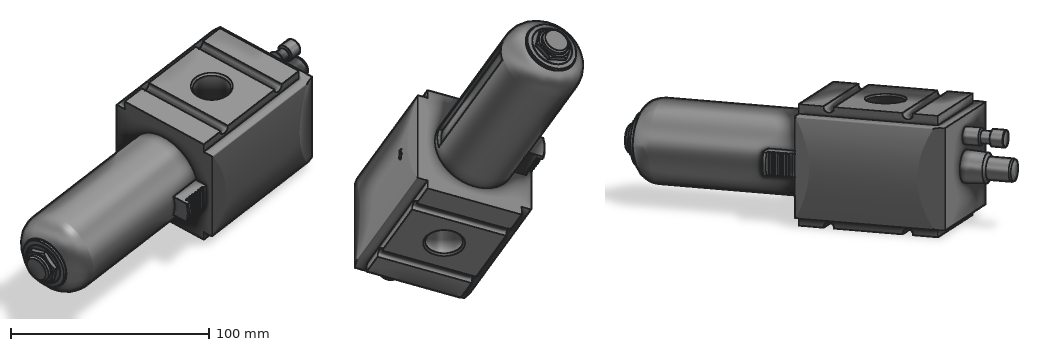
import cadquery as cq
import math


BODY_FRONT = -37.3
BODY_BACK = 42.7
BODY_HALF_HEIGHT = 26.5
BODY_EDGE_HALF_WIDTH = 31.5
BODY_HALF_WIDTH = 67.0 / 2
BODY_EDGE_FILLET = 0.8
CROWN_HALF_LENGTH = 29.0
SIDE_TAPER = (BODY_HALF_WIDTH - BODY_EDGE_HALF_WIDTH) / (-CROWN_HALF_LENGTH - BODY_FRONT)

PAD_HALF_WIDTH = 52.0 / 2
PAD_HALF_HEIGHT = 31.5
PAD_HALF_LENGTH = -BODY_FRONT
GROOVE_OFFSET = 21.1
GROOVE_RADIUS = 5.5 / 2
GROOVE_DEPTH = 3.1
PORT_RADIUS = 9.5
PORT_CHAMFER = 1.0
PORT_DEPTH = 18.7

ARROW_Y = -20.3
ARROW_TOP = 3.0
ARROW_SHOULDER = -0.8
ARROW_HEAD_HALF_WIDTH = 2.0
ARROW_SHAFT_HALF_WIDTH = 0.93
ARROW_TIP_HALF_WIDTH = 0.5
ARROW_DEPTH = 1.0

BOWL_RADIUS = 22.0
BOWL_STRAIGHT_END = -119.5
DOME_RADIUS = 11.8
DOME_END = -130.5
WINDOW_FRONT = -118.2
WINDOW_BACK = -40.5
WINDOW_WIDTH = 11.5
WINDOW_DEPTH = 2.0

WASHER_RADIUS = 13.5
WASHER_END = -132.0
STEP_RADIUS = 11.0
STEP_END = -132.5
NUT_ACROSS_FLATS = 17.0
NUT_END = -135.2
NUT_TURN = 17.0
NUT_BEVEL_ANGLE = 30.0
DRAIN_RADIUS = 7.3
DRAIN_END_RADIUS = 6.2
DRAIN_TAPER_START = -136.8
DRAIN_END = -137.6

LATCH_WIDTH = 12.0
LATCH_CROWN = 0.8
LATCH_BACK = -38.0
LATCH_ROOT = 17.6
LATCH_BODY_REACH = 27.4
LATCH_LIP_REACH = 28.2
LATCH_LIP_FRONT = -40.0
LATCH_RIB_REACH = 29.6
LATCH_FOOT_REACH = 31.0
LATCH_FOOT_BACK = -53.0
LATCH_FRONT = -55.3
LATCH_FOOT_CHAMFER = 0.6
RIB_COUNT = 5
RIB_FIRST = -42.0
RIB_PITCH = 2.3
RIB_THICKNESS = 1.0

COLLAR_BASE_RADIUS = 8.5
COLLAR_RADIUS = 7.9
COLLAR_END = 54.5
KNOB_RADIUS = 6.0
KNOB_START = 55.8
KNOB_SHOULDER = 68.0
KNOB_RIM_RADIUS = 5.5
KNOB_RIM = 69.0
KNOB_TIP_RADIUS = 3.1
KNOB_END = 69.7

FITTING_Z = 16.0
FITTING_RADIUS = 4.5
FITTING_NECK_RADIUS = 3.3
FITTING_NECK_START = 51.8
FITTING_NECK_END = 56.8
FITTING_END = 64.5
FITTING_NECK_BEVEL = 0.6
FITTING_TIP_CHAMFER = 0.31


def box(x_range, y_range, z_range):
    """Box spanning the given ranges."""
    spans = [(low, high - low) for low, high in (x_range, y_range, z_range)]
    corner = cq.Vector(*[low for low, _ in spans])
    return cq.Workplane(cq.Solid.makeBox(*[size for _, size in spans], corner))


def revolve_about_y(profile):
    """Solid of revolution about Y from (radius, y) points, closed along the axis."""
    return cq.Workplane("XY").polyline(profile).close().revolve(360, (0, 0), (0, 1))


def extrude_along_y(outline, y_start, y_end):
    """Solid from y_start to y_end with the given XZ outline."""
    return outline.extrude(y_end - y_start).translate((0, y_end, 0))


def make_body():
    """Block with crowned X sides whose ends are cut back by slanted planes."""
    edge = BODY_EDGE_HALF_WIDTH
    top = BODY_HALF_HEIGHT
    outline = (
        cq.Workplane("XZ")
        .moveTo(-edge, -top)
        .lineTo(edge, -top)
        .threePointArc((BODY_HALF_WIDTH, 0), (edge, top))
        .lineTo(-edge, top)
        .threePointArc((-BODY_HALF_WIDTH, 0), (-edge, -top))
        .close()
    )
    block = extrude_along_y(outline, BODY_FRONT, BODY_BACK).edges("|Y").fillet(BODY_EDGE_FILLET)

    back_half_width = BODY_HALF_WIDTH - SIDE_TAPER * (BODY_BACK - CROWN_HALF_LENGTH)
    right_side = [
        (edge, BODY_FRONT),
        (BODY_HALF_WIDTH, -CROWN_HALF_LENGTH),
        (BODY_HALF_WIDTH, CROWN_HALF_LENGTH),
        (back_half_width, BODY_BACK),
    ]
    left_side = [(-x, y) for x, y in reversed(right_side)]
    plan = cq.Workplane("XY").polyline(right_side + left_side).close().extrude(top, both=True)
    return block.intersect(plan)


def make_pads():
    """Port pads through the full height, with two round-bottomed grooves on each face."""
    pads = box(
        (-PAD_HALF_WIDTH, PAD_HALF_WIDTH),
        (-PAD_HALF_LENGTH, PAD_HALF_LENGTH),
        (-PAD_HALF_HEIGHT, PAD_HALF_HEIGHT),
    )
    for side in (-1, 1):
        grooves = (
            cq.Workplane("YZ")
            .pushPoints([(y, side * PAD_HALF_HEIGHT) for y in (-GROOVE_OFFSET, GROOVE_OFFSET)])
            .slot2D(2 * GROOVE_DEPTH, 2 * GROOVE_RADIUS, 90)
            .extrude(PAD_HALF_WIDTH, both=True)
        )
        pads = pads.cut(grooves)
    return pads


def make_ports():
    """Chamfered blind ports, one in each pad."""
    profile = [
        (0, PAD_HALF_HEIGHT),
        (PORT_RADIUS + PORT_CHAMFER, PAD_HALF_HEIGHT),
        (PORT_RADIUS, PAD_HALF_HEIGHT - PORT_CHAMFER),
        (PORT_RADIUS, PAD_HALF_HEIGHT - PORT_DEPTH),
        (0, PAD_HALF_HEIGHT - PORT_DEPTH),
    ]
    port = cq.Workplane("XZ").polyline(profile).close().revolve(360, (0, 0), (0, 1))
    return port.union(port.mirror("XY"))


def make_arrow():
    """Arrow pointing down, to be engraved in the -X side."""
    right_side = [
        (ARROW_SHAFT_HALF_WIDTH, ARROW_TOP),
        (ARROW_SHAFT_HALF_WIDTH, ARROW_SHOULDER),
        (ARROW_HEAD_HALF_WIDTH, ARROW_SHOULDER),
        (ARROW_TIP_HALF_WIDTH, -ARROW_TOP),
    ]
    left_side = [(-y, z) for y, z in reversed(right_side)]
    outline = cq.Workplane("YZ").polyline(right_side + left_side).close()
    return outline.extrude(ARROW_DEPTH).translate((-BODY_HALF_WIDTH, ARROW_Y, 0))


def make_bowl():
    """Round bowl with a domed end and a sunken window on the -X side."""
    dome_centre_radius = BOWL_RADIUS - DOME_RADIUS
    dome_depth = BOWL_STRAIGHT_END - DOME_END
    dome_end_radius = dome_centre_radius + math.sqrt(DOME_RADIUS**2 - dome_depth**2)
    end_angle = math.asin(dome_depth / DOME_RADIUS)
    dome_middle = (
        dome_centre_radius + DOME_RADIUS * math.cos(end_angle / 2),
        BOWL_STRAIGHT_END - DOME_RADIUS * math.sin(end_angle / 2),
    )
    bowl = (
        cq.Workplane("XY")
        .moveTo(0, BODY_FRONT)
        .lineTo(BOWL_RADIUS, BODY_FRONT)
        .lineTo(BOWL_RADIUS, BOWL_STRAIGHT_END)
        .threePointArc(dome_middle, (dome_end_radius, DOME_END))
        .lineTo(0, DOME_END)
        .close()
        .revolve(360, (0, 0), (0, 1))
    )
    ring = cq.Workplane("XZ").circle(BOWL_RADIUS).circle(BOWL_RADIUS - WINDOW_DEPTH)
    window = extrude_along_y(ring, WINDOW_FRONT, WINDOW_BACK).intersect(
        box(
            (-BOWL_RADIUS, 0),
            (WINDOW_FRONT, WINDOW_BACK),
            (-WINDOW_WIDTH / 2, WINDOW_WIDTH / 2),
        )
    )
    return bowl.cut(window)


def make_drain():
    """Stepped washer, bevelled hexagon nut and round drain stem."""
    washer = revolve_about_y(
        [
            (0, DOME_END),
            (WASHER_RADIUS, DOME_END),
            (WASHER_RADIUS, WASHER_END),
            (STEP_RADIUS, WASHER_END),
            (STEP_RADIUS, STEP_END),
            (0, STEP_END),
        ]
    )
    nut_corner_radius = NUT_ACROSS_FLATS / 2 / math.cos(math.pi / 6)
    hexagon = cq.Workplane("XZ").polygon(6, 2 * nut_corner_radius)
    nut = extrude_along_y(hexagon, NUT_END, STEP_END).rotate((0, 0, 0), (0, 1, 0), -NUT_TURN)
    bevel = (nut_corner_radius - NUT_ACROSS_FLATS / 2) * math.tan(math.radians(NUT_BEVEL_ANGLE))
    nut_envelope = revolve_about_y(
        [
            (0, STEP_END),
            (nut_corner_radius, STEP_END),
            (nut_corner_radius, NUT_END + bevel),
            (NUT_ACROSS_FLATS / 2, NUT_END),
            (0, NUT_END),
        ]
    )
    stem = revolve_about_y(
        [
            (0, STEP_END),
            (DRAIN_RADIUS, STEP_END),
            (DRAIN_RADIUS, DRAIN_TAPER_START),
            (DRAIN_END_RADIUS, DRAIN_END),
            (0, DRAIN_END),
        ]
    )
    return washer.union(nut.intersect(nut_envelope)).union(stem)


def latch_bar(reach, y_front, y_back):
    """Flat-faced bar from inside the bowl wall out to the given X reach."""
    return box((LATCH_ROOT, reach), (y_front, y_back), (-LATCH_WIDTH / 2, LATCH_WIDTH / 2))


def make_foot():
    """Foot at the -Y end of the latch, with a crowned and chamfered outer face."""
    half_width = LATCH_WIDTH / 2
    edge_reach = LATCH_FOOT_REACH - LATCH_CROWN
    outline = (
        cq.Workplane("XZ")
        .moveTo(LATCH_ROOT, -half_width)
        .lineTo(edge_reach, -half_width)
        .threePointArc((LATCH_FOOT_REACH, 0), (edge_reach, half_width))
        .lineTo(LATCH_ROOT, half_width)
        .close()
    )
    foot = extrude_along_y(outline, LATCH_FRONT, LATCH_FOOT_BACK)
    return foot.faces(">X").edges("<Y").chamfer(LATCH_FOOT_CHAMFER)


def make_latch():
    """Thumb latch with a lip beside the body, grip ribs and a longer foot."""
    latch = latch_bar(LATCH_BODY_REACH, LATCH_FRONT, LATCH_BACK)
    latch = latch.union(latch_bar(LATCH_LIP_REACH, LATCH_LIP_FRONT, LATCH_BACK))
    for index in range(RIB_COUNT):
        y = RIB_FIRST - index * RIB_PITCH
        latch = latch.union(latch_bar(LATCH_RIB_REACH, y - RIB_THICKNESS / 2, y + RIB_THICKNESS / 2))
    return latch.union(make_foot())


def make_knob():
    """Tapered collar carrying the adjusting knob."""
    return revolve_about_y(
        [
            (0, BODY_BACK),
            (COLLAR_BASE_RADIUS, BODY_BACK),
            (COLLAR_RADIUS, COLLAR_END),
            (KNOB_RADIUS, KNOB_START),
            (KNOB_RADIUS, KNOB_SHOULDER),
            (KNOB_RIM_RADIUS, KNOB_RIM),
            (KNOB_TIP_RADIUS, KNOB_END),
            (0, KNOB_END),
        ]
    )


def make_fitting():
    """Round push-in fitting with a waisted neck whose shoulders are bevelled."""
    return revolve_about_y(
        [
            (0, BODY_BACK),
            (FITTING_RADIUS, BODY_BACK),
            (FITTING_RADIUS, FITTING_NECK_START - FITTING_NECK_BEVEL),
            (FITTING_NECK_RADIUS, FITTING_NECK_START),
            (FITTING_NECK_RADIUS, FITTING_NECK_END),
            (FITTING_RADIUS, FITTING_NECK_END + FITTING_NECK_BEVEL),
            (FITTING_RADIUS, FITTING_END - FITTING_TIP_CHAMFER),
            (FITTING_RADIUS - FITTING_TIP_CHAMFER, FITTING_END),
            (0, FITTING_END),
        ]
    ).translate((0, 0, FITTING_Z))


result = make_body().union(make_pads()).cut(make_ports()).cut(make_arrow())
for component in (make_bowl(), make_drain(), make_latch(), make_knob(), make_fitting()):
    result = result.union(component)